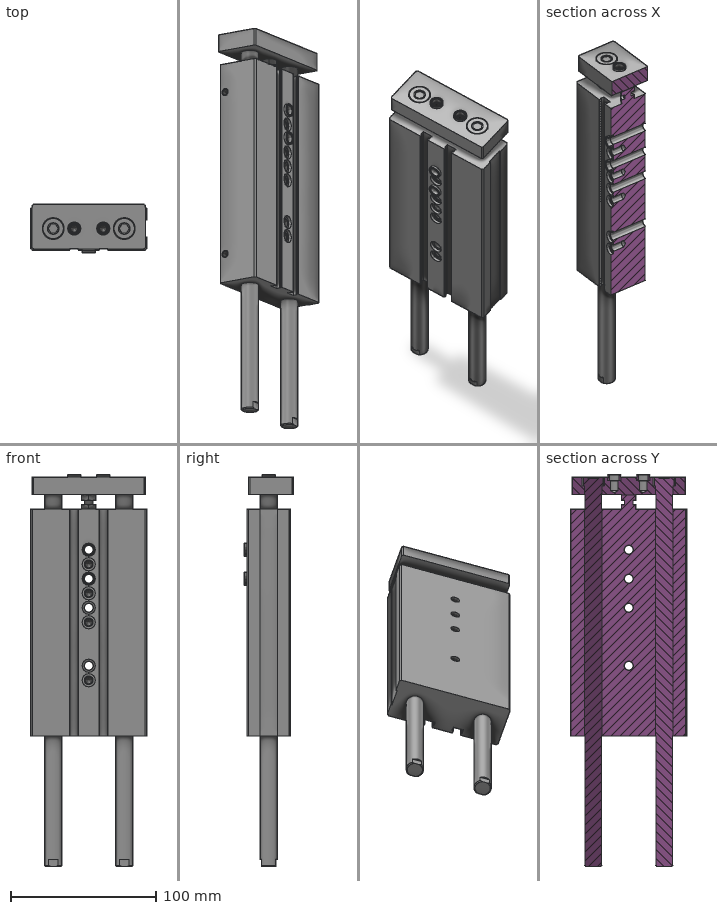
import cadquery as cq
import math


HOUSING_WIDTH = 80.0
HOUSING_DEPTH = 30.0
HOUSING_LENGTH = 156.5
HOUSING_CHAMFER = 1.2
HOUSING_FRONT = -HOUSING_DEPTH / 2

SENSOR_SLOT_X = 10.2
SLOT_MOUTH_WIDTH = 5.6
SLOT_MOUTH_CHAMFER = 0.4
SLOT_LIP_DEPTH = 1.8
SLOT_INNER_WIDTH = 7.2
SLOT_DEPTH = 4.5

SIDE_RECESS_WIDTH = 12.0
SIDE_RECESS_DEPTH = 0.8

HOLE_PITCH = 10.0
FIRST_HOLE_DROP = 28.0
SLEEVED_HOLE_DROPS = [FIRST_HOLE_DROP, FIRST_HOLE_DROP + 2 * HOLE_PITCH]
THROUGH_HOLE_DROPS = SLEEVED_HOLE_DROPS + [FIRST_HOLE_DROP + n * HOLE_PITCH for n in (4, 8)]
THREADED_HOLE_DROPS = [drop + HOLE_PITCH for drop in THROUGH_HOLE_DROPS]
THROUGH_HOLE_DIA = 6.0

MOUNT_THREAD_DIA = 6.0
MOUNT_CORE_DIA = 4.92
MOUNT_CORE_DEPTH = 9.0
PORT_THREAD_DIA = 5.0
PORT_CORE_DIA = 4.13
PORT_CORE_DEPTH = 5.0
DRILL_POINT_ANGLE = 118.0

PORT_Y = 10.2
PORT_END_DISTANCE = 20.2

SLEEVE_OUTER_DIA = 9.0
SLEEVE_BORE_DIA = 6.4
SLEEVE_OUTER_CHAMFER = 0.3
SLEEVE_BORE_CHAMFER = 0.5
SLEEVE_PROTRUSION = 1.9
SLEEVE_SEAT_DEPTH = 2.1
SLEEVE_LENGTH = SLEEVE_SEAT_DEPTH + SLEEVE_PROTRUSION

HEX_ACROSS_FLATS = 10.0
HEX_CHAMFER = 0.4
NUT_HEIGHT = 3.2
SCREW_DIA = 6.0
SCREW_HEAD_HEIGHT = 4.0

PLATE_GAP = 10.0
PLATE_WIDTH = 78.0
PLATE_DEPTH = 31.0
PLATE_THICKNESS = 12.0
PLATE_Y = 1.4
PLATE_CHAMFER = 1.0
PLATE_BOTTOM = HOUSING_LENGTH + PLATE_GAP
PLATE_TOP = PLATE_BOTTOM + PLATE_THICKNESS
PLATE_SLEEVE_X = 10.0
PLATE_CORE_DEPTH = 7.0

ROD_X = 24.5
ROD_DIA = 12.0
ROD_EXTENSION = 90.0
ROD_HEAD_DIA = 14.0
ROD_HEAD_RECESS_DIA = 15.0
ROD_HEAD_HEIGHT = 6.0
ROD_END_CHAMFER = 0.75
ROD_FLAT_DISTANCE = 10.0
ROD_FLAT_LENGTH = 5.0
SOCKET_ACROSS_FLATS = 6.0
SOCKET_DEPTH = 0.6
SOCKET_MOUTH_DIA = 8.0
SOCKET_MOUTH_DEPTH = 0.3


def hexagon(across_flats, height, bottom):
    """Upright hexagonal prism on the Z axis, with corners on the +X and -X sides."""
    across_corners = across_flats / math.cos(math.pi / 6)
    return cq.Workplane("XY", origin=(0, 0, bottom)).polygon(6, across_corners).extrude(height)


def chamfered_hexagon(across_flats, height, bottom):
    """Nut or screw head with corners on the +Y and -Y sides, bevelled at both end faces."""
    across_corners = across_flats / math.cos(math.pi / 6)
    envelope = cq.Workplane("XY", origin=(0, 0, bottom)).circle(across_corners / 2).extrude(height)
    envelope = envelope.faces("<Z or >Z").chamfer(HEX_CHAMFER, (across_corners - across_flats) / 2)
    prism = hexagon(across_flats, height, bottom).rotate((0, 0, 0), (0, 0, 1), 90)
    return prism.intersect(envelope)


def threaded_hole(thread_dia, core_dia, core_depth):
    """Cutter on Z = 0, pointing down: thread countersink, core and drill point."""
    core_radius = core_dia / 2
    countersink = (thread_dia - core_dia) / 2
    point_depth = core_radius / math.tan(math.radians(DRILL_POINT_ANGLE / 2))
    return (
        cq.Workplane("XZ")
        .moveTo(0, 0)
        .lineTo(thread_dia / 2, 0)
        .lineTo(core_radius, -countersink)
        .lineTo(core_radius, -core_depth)
        .lineTo(0, -core_depth - point_depth)
        .close()
        .revolve(360, (0, 0, 0), (0, 1, 0))
    )


def sleeve_seat():
    """Cutter on Z = 0, pointing down, for the counterbore of a centring sleeve."""
    return cq.Workplane("XY").circle(SLEEVE_OUTER_DIA / 2).extrude(-SLEEVE_SEAT_DEPTH)


def seated_threaded_hole(core_depth):
    """Sleeve counterbore with a mounting thread at its bottom."""
    thread = threaded_hole(MOUNT_THREAD_DIA, MOUNT_CORE_DIA, core_depth)
    return sleeve_seat().union(thread.translate((0, 0, -SLEEVE_SEAT_DEPTH)))


def on_front_face(shape, drop):
    """Turn a shape from +Z to -Y and put it on the housing front, below the housing top."""
    return shape.rotate((0, 0, 0), (1, 0, 0), 90).translate((0, HOUSING_FRONT, HOUSING_LENGTH - drop))


def sensor_slot(x):
    """T-shaped slot with a bevelled mouth, over the whole housing length."""
    mouth = SLOT_MOUTH_WIDTH / 2
    inner = SLOT_INNER_WIDTH / 2
    half_profile = [
        (mouth + SLOT_MOUTH_CHAMFER, 0),
        (mouth, SLOT_MOUTH_CHAMFER),
        (mouth, SLOT_LIP_DEPTH),
        (inner, SLOT_LIP_DEPTH),
        (inner, SLOT_DEPTH),
    ]
    mirrored_half = [(-px, py) for px, py in reversed(half_profile)]
    return (
        cq.Workplane("XY", origin=(x, HOUSING_FRONT, 0))
        .polyline(half_profile + mirrored_half)
        .close()
        .extrude(HOUSING_LENGTH)
    )


def stop_screw():
    """Stop screw that rises from the housing to the plate: lock nut, shank and head."""
    nut = chamfered_hexagon(HEX_ACROSS_FLATS, NUT_HEIGHT, HOUSING_LENGTH)
    head = chamfered_hexagon(HEX_ACROSS_FLATS, SCREW_HEAD_HEIGHT, PLATE_BOTTOM - SCREW_HEAD_HEIGHT)
    shank = (
        cq.Workplane("XY", origin=(0, 0, HOUSING_LENGTH))
        .circle(SCREW_DIA / 2)
        .extrude(PLATE_GAP - SCREW_HEAD_HEIGHT)
    )
    return nut.union(shank).union(head)


def make_housing():
    body = (
        cq.Workplane("XY")
        .rect(HOUSING_WIDTH, HOUSING_DEPTH)
        .extrude(HOUSING_LENGTH)
        .edges("|Z")
        .chamfer(HOUSING_CHAMFER)
    )
    rod_bores = (
        cq.Workplane("XY")
        .pushPoints([(-ROD_X, 0), (ROD_X, 0)])
        .circle(ROD_DIA / 2)
        .extrude(HOUSING_LENGTH)
    )
    body = body.cut(rod_bores)
    for x in (-SENSOR_SLOT_X, SENSOR_SLOT_X):
        body = body.cut(sensor_slot(x))

    side_recess = (
        cq.Workplane("XY", origin=(HOUSING_WIDTH / 2, 0, 0))
        .rect(2 * SIDE_RECESS_DEPTH, SIDE_RECESS_WIDTH)
        .extrude(HOUSING_LENGTH)
    )
    body = body.cut(side_recess)

    through_hole = sleeve_seat().union(
        cq.Workplane("XY").circle(THROUGH_HOLE_DIA / 2).extrude(-HOUSING_DEPTH)
    )
    for drop in THROUGH_HOLE_DROPS:
        body = body.cut(on_front_face(through_hole, drop))
    for drop in THREADED_HOLE_DROPS:
        body = body.cut(on_front_face(seated_threaded_hole(MOUNT_CORE_DEPTH), drop))

    port = threaded_hole(PORT_THREAD_DIA, PORT_CORE_DIA, PORT_CORE_DEPTH)
    port = port.rotate((0, 0, 0), (0, 1, 0), -90)
    for z in (PORT_END_DISTANCE, HOUSING_LENGTH - PORT_END_DISTANCE):
        body = body.cut(port.translate((-HOUSING_WIDTH / 2, PORT_Y, z)))
    return body.union(stop_screw())


def make_plate():
    plate = (
        cq.Workplane("XY", origin=(0, PLATE_Y, PLATE_BOTTOM))
        .rect(PLATE_WIDTH, PLATE_DEPTH)
        .extrude(PLATE_THICKNESS)
        .edges("|Z")
        .chamfer(PLATE_CHAMFER)
    )
    plate = (
        plate.faces(">Z")
        .workplane(origin=(0, 0, PLATE_TOP))
        .pushPoints([(-ROD_X, 0), (ROD_X, 0)])
        .cboreHole(ROD_DIA, ROD_HEAD_RECESS_DIA, ROD_HEAD_HEIGHT)
    )
    for x in (-PLATE_SLEEVE_X, PLATE_SLEEVE_X):
        plate = plate.cut(seated_threaded_hole(PLATE_CORE_DEPTH).translate((x, 0, PLATE_TOP)))
    return plate


def make_rod(x):
    """Guide rod with a socket head in the plate and two wrench flats at the free end."""
    rod = (
        cq.Workplane("XY", origin=(0, 0, -ROD_EXTENSION))
        .circle(ROD_DIA / 2)
        .extrude(ROD_EXTENSION + PLATE_TOP)
        .faces("<Z")
        .chamfer(ROD_END_CHAMFER)
    )
    head = (
        cq.Workplane("XY", origin=(0, 0, PLATE_TOP))
        .circle(ROD_HEAD_DIA / 2)
        .extrude(-ROD_HEAD_HEIGHT)
    )
    socket_mouth = (
        cq.Workplane("XY", origin=(0, 0, PLATE_TOP))
        .circle(SOCKET_MOUTH_DIA / 2)
        .extrude(-SOCKET_MOUTH_DEPTH)
    )
    socket = hexagon(SOCKET_ACROSS_FLATS, SOCKET_DEPTH, PLATE_TOP - SOCKET_DEPTH)
    rod = rod.union(head).cut(socket_mouth).cut(socket)

    flats = (
        cq.Workplane("XY", origin=(0, 0, -ROD_EXTENSION))
        .rect(2 * ROD_DIA, 2 * ROD_DIA)
        .rect(2 * ROD_DIA, ROD_FLAT_DISTANCE)
        .extrude(ROD_FLAT_LENGTH)
    )
    return rod.cut(flats).translate((x, 0, 0))


def make_sleeve():
    """Centring sleeve with its mounting face on Z = 0; the free end is bevelled."""
    sleeve = (
        cq.Workplane("XY", origin=(0, 0, -SLEEVE_SEAT_DEPTH))
        .circle(SLEEVE_OUTER_DIA / 2)
        .circle(SLEEVE_BORE_DIA / 2)
        .extrude(SLEEVE_LENGTH)
    )
    sleeve = sleeve.faces(">Z").edges(cq.selectors.RadiusNthSelector(1)).chamfer(SLEEVE_OUTER_CHAMFER)
    return sleeve.faces(">Z").edges(cq.selectors.RadiusNthSelector(0)).chamfer(SLEEVE_BORE_CHAMFER)


housing = make_housing()
plate = make_plate()
rods = [make_rod(x) for x in (-ROD_X, ROD_X)]
plate_sleeves = [make_sleeve().translate((x, 0, PLATE_TOP)) for x in (-PLATE_SLEEVE_X, PLATE_SLEEVE_X)]
housing_sleeves = [on_front_face(make_sleeve(), drop) for drop in SLEEVED_HOLE_DROPS]

result = cq.Compound.makeCompound(
    [body.solids().val() for body in [housing, plate, *rods, *plate_sleeves, *housing_sleeves]]
)